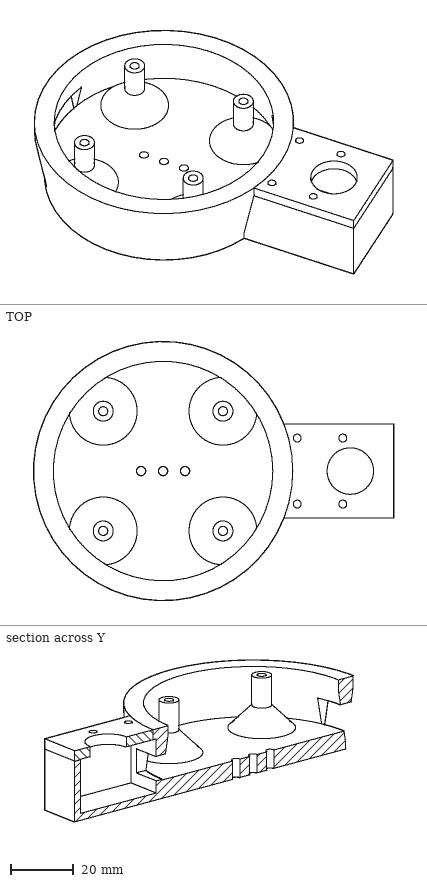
import cadquery as cq

total_height = 24.1
overall_length = 114.73
rim_diameter = 82.55
rim_bore_diameter = 69.85
rim_height = 3.5
base_diameter = (rim_diameter + rim_bore_diameter) / 2
base_thickness = 2.5
floor_top = 6.35

post_diameter = 6.35
post_pitch = 38.1
post_hole_diameter = 2.9
post_foot_height = 7.62

floor_hole_diameter = 2.85
floor_hole_spacing = 7.0

window_width = 21.0
window_top = 15.4
window_center_y = 0.7

arm_width = 30.0
arm_wall = 2.5
room_start_x = 40.0
passage_width = 19.7
passage_bottom = 6.6
passage_top = 14.7

cover_hole_diameter = 14.8
cover_hole_x = 59.6
screw_hole_diameter = 2.5
screw_hole_xs = (42.7, 57.2)
screw_hole_y = 10.5

rim_radius = rim_diameter / 2
bore_radius = rim_bore_diameter / 2
base_radius = base_diameter / 2
arm_end_x = overall_length - rim_radius
rim_bottom = total_height - rim_height
wall_taper = (base_radius - bore_radius) / (rim_bottom - base_thickness)
floor_radius = base_radius - wall_taper * (floor_top - base_thickness)


def block(x_min, x_max, width, z_min, z_max, center_y=0):
    """Box between two X and two Z limits, centred on a Y position."""
    return (
        cq.Workplane("XY")
        .box(x_max - x_min, width, z_max - z_min, centered=(False, True, False))
        .translate((x_min, center_y, z_min))
    )


def cylinder(diameter, z_min, z_max, points=((0, 0),)):
    """Upright cylinders at the given XY points."""
    centers = cq.Workplane("XY", origin=(0, 0, z_min)).pushPoints(points)
    return centers.circle(diameter / 2).extrude(z_max - z_min)


def revolve_about_z(radius_height_points):
    """Solid of revolution about Z from (radius, z) points."""
    return cq.Workplane("XZ").polyline(radius_height_points).close().revolve(360, (0, 0), (0, 1))


def make_bowl_outside():
    """Base disc, flaring wall and straight rim as one full solid."""
    return revolve_about_z([
        (0, 0),
        (base_radius, 0),
        (base_radius, base_thickness),
        (rim_radius, rim_bottom),
        (rim_radius, total_height),
        (0, total_height),
    ])


def make_cavity():
    """Space inside the wall: it narrows upward from the base disc to the rim bore."""
    return revolve_about_z([
        (0, base_thickness),
        (base_radius, base_thickness),
        (bore_radius, rim_bottom),
        (bore_radius, total_height),
        (0, total_height),
    ])


def make_raised_floor():
    """Floor that fills the bottom of the cavity."""
    return revolve_about_z([
        (0, base_thickness),
        (base_radius, base_thickness),
        (floor_radius, floor_top),
        (0, floor_top),
    ])


def make_post(x, y):
    """Round post on a conical foot, with a blind screw hole in the straight part."""
    foot_top = floor_top + post_foot_height
    post_radius = post_diameter / 2
    post = revolve_about_z([
        (0, floor_top),
        (post_radius + post_foot_height, floor_top),
        (post_radius, foot_top),
        (post_radius, total_height),
        (0, total_height),
    ])
    return post.cut(cylinder(post_hole_diameter, foot_top, total_height)).translate((x, y, 0))


def make_housing():
    """Bowl with its posts and the open-topped arm."""
    bowl = make_bowl_outside()
    arm = block(0, arm_end_x, arm_width, 0, rim_bottom).cut(bowl)
    room = block(room_start_x, arm_end_x - arm_wall, arm_width - 2 * arm_wall,
                 base_thickness, rim_bottom)
    passage = block(0, room_start_x, passage_width, passage_bottom, passage_top)
    window = block(-rim_radius, 0, window_width, base_thickness, window_top, window_center_y)

    housing = bowl.union(arm).cut(make_cavity())
    housing = housing.cut(room).cut(passage).cut(window)
    housing = housing.union(make_raised_floor())
    for x_side in (-1, 1):
        for y_side in (-1, 1):
            housing = housing.union(make_post(x_side * post_pitch / 2, y_side * post_pitch / 2))

    floor_hole_points = [(i * floor_hole_spacing, 0) for i in (-1, 0, 1)]
    return housing.cut(cylinder(floor_hole_diameter, 0, floor_top, floor_hole_points))


def make_cover():
    """Plate that closes the arm, flush with the rim and curved to fit against it."""
    plate = block(0, arm_end_x, arm_width, rim_bottom, total_height)
    plate = plate.cut(cylinder(rim_diameter, rim_bottom, total_height))
    screw_points = [(x, side * screw_hole_y) for x in screw_hole_xs for side in (-1, 1)]
    plate = plate.cut(cylinder(screw_hole_diameter, rim_bottom, total_height, screw_points))
    return plate.cut(cylinder(cover_hole_diameter, rim_bottom, total_height, [(cover_hole_x, 0)]))


housing = make_housing()
cover = make_cover()
result = cq.Compound.makeCompound([housing.val(), cover.val()])